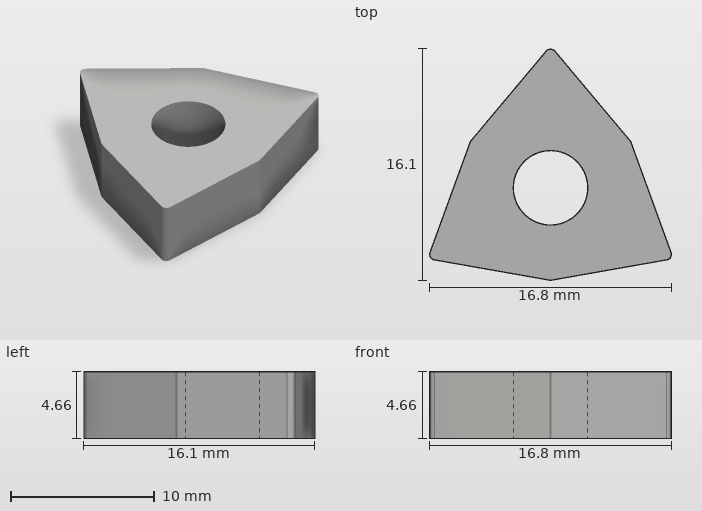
import cadquery as cq
import math

overall_width = 16.83
corner_angle = 80
corner_radius = 0.4
middle_radius = 0.2
thickness = 4.66
hole_diameter = 5.17
corner_count = 3

corner_step = 360 / corner_count
half_corner_sine = math.sin(math.radians(corner_angle / 2))
arc_center_distance = (overall_width / 2 - corner_radius) / math.sin(math.radians(corner_step / 2))
tip_distance = arc_center_distance + corner_radius / half_corner_sine

inscribed_radius = tip_distance * half_corner_sine
edge_tilt = (corner_angle - 180 + corner_step) / 2
middle_distance = inscribed_radius / math.cos(math.radians(edge_tilt))


def polar_point(distance, angle):
    """Point at a distance and an angle in degrees from the centre."""
    radians = math.radians(angle)
    return (distance * math.cos(radians), distance * math.sin(radians))


outline = []
tips = []
middles = []
for index in range(corner_count):
    tip_angle = 90 + index * corner_step
    tip = polar_point(tip_distance, tip_angle)
    tips.append(tip)
    middle = polar_point(middle_distance, tip_angle + corner_step / 2)
    middles.append(middle)
    outline += [tip, middle]

body = cq.Workplane("XY").polyline(outline).close().extrude(thickness)


def round_vertical_edges(solid, points, radius):
    """Fillet the upright edge standing at each of the given points."""
    for x, y in points:
        edge = cq.selectors.NearestToPointSelector((x, y, thickness / 2))
        solid = solid.edges(edge).fillet(radius)
    return solid


body = round_vertical_edges(body, tips, corner_radius)
body = round_vertical_edges(body, middles, middle_radius)

result = body.faces(">Z").workplane(origin=(0, 0, thickness)).hole(hole_diameter)